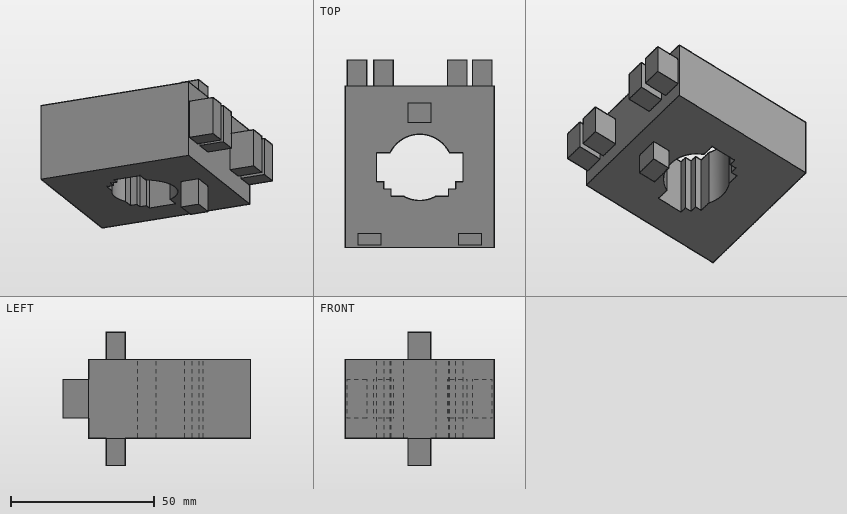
import cadquery as cq

body_width = 52.0
body_length = 56.42
body_height = 27.5

cable_diameter = 23.0
cable_center_y = 28.0
bar_top_y = 33.0
bar_sections = [(30.0, 10.0), (25.0, 12.5), (20.0, 15.0)]

post_width = 8.0
post_length = 6.7
post_height = 9.5
post_center_x = -0.1
post_center_y = 47.0

terminal_width = 6.9
terminal_length = 9.0
terminal_height = 13.5
terminal_centers_x = [-21.85, -12.65, 13.05, 21.75]

mark_width = 8.0
mark_length = 4.0
mark_depth = 0.1
mark_offset_x = 17.5
mark_center_y = 2.95


def make_body():
    body = cq.Workplane("XY").box(body_width, body_length, body_height)
    return body.translate((0, body_length / 2, 0))


def make_window():
    """Round cable hole joined with bar slots that share one back edge."""
    window = cq.Workplane("XY").circle(cable_diameter / 2).extrude(body_height / 2, both=True)
    window = window.translate((0, cable_center_y, 0))
    for width, thickness in bar_sections:
        slot = cq.Workplane("XY").box(width, thickness, body_height)
        window = window.union(slot.translate((0, bar_top_y - thickness / 2, 0)))
    return window


def make_posts():
    """One bar through the body, which leaves a post on each face."""
    bar_height = body_height + 2 * post_height
    bar = cq.Workplane("XY").box(post_width, post_length, bar_height)
    return bar.translate((post_center_x, post_center_y, 0))


def make_terminal(center_x):
    terminal = cq.Workplane("XY").box(terminal_width, terminal_length, terminal_height)
    return terminal.translate((center_x, body_length + terminal_length / 2, 0))


def make_mark(center_x):
    mark = cq.Workplane("XY").box(mark_width, mark_length, mark_depth)
    return mark.translate((center_x, mark_center_y, (body_height - mark_depth) / 2))


result = make_body().union(make_posts()).cut(make_window())
for terminal_x in terminal_centers_x:
    result = result.union(make_terminal(terminal_x))
for mark_x in (-mark_offset_x, mark_offset_x):
    result = result.cut(make_mark(mark_x))